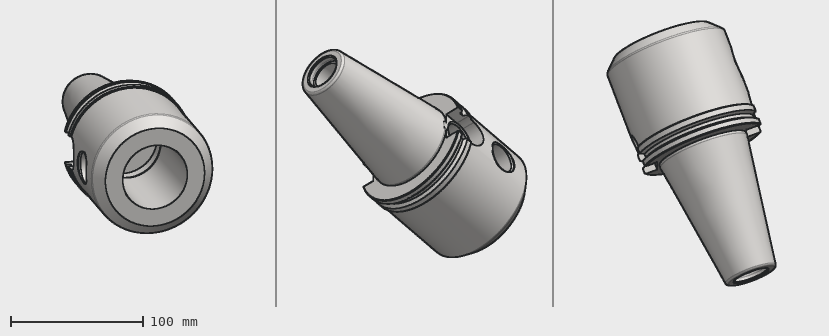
import cadquery as cq

total_length = 193.5
taper_end = 102.8
flange_start = 104.7
flange_end = 121.0
groove_start = 109.4
groove_floor_start = 111.1
groove_floor_end = 114.0
groove_end = 115.8
nose_start = 184.9

taper_slope = 7 / 24 / 2
gauge_radius = 35.2
small_end_radius = gauge_radius - taper_slope * taper_end
flange_radius = 97.2 / 2
groove_radius = 45.5
body_radius = 95.2 / 2
nose_length = total_length - nose_start
nose_radius = body_radius - nose_length
small_end_fillet = 2.0
nose_edge_fillet = 2.0
flange_edge_chamfer = 0.5

through_radius = 22.0 / 2
recess_radius = 26.7 / 2
recess_floor_radius = 26.0 / 2
recess_depth = 5.6
recess_taper_start = 3.9
recess_mouth_chamfer = 1.0
tool_bore_radius = 50.7 / 2
relief_radius = 51.5 / 2
relief_start = 104.5
relief_end = 115.8

slot_width = 25.2
slot_end_centre = 121.2
slot_entry = 77.5
front_slot_floor = 35.0
back_slot_floor = 37.0

screw_stations = (119.8, 157.5)
screw_mouths = (front_slot_floor, 46.7)
screw_radius = 23.5 / 2
screw_mouth_radius = 26.0 / 2
screw_chamfer = screw_mouth_radius - screw_radius


def make_outer_body():
    """Taper, grooved flange and cylindrical body turned about X."""
    profile = [
        (0, 0),
        (0, small_end_radius),
        (taper_end, gauge_radius),
        (flange_start, gauge_radius),
        (flange_start, flange_radius - flange_edge_chamfer),
        (flange_start + flange_edge_chamfer, flange_radius),
        (groove_start, flange_radius),
        (groove_floor_start, groove_radius),
        (groove_floor_end, groove_radius),
        (groove_end, flange_radius),
        (flange_end - flange_edge_chamfer, flange_radius),
        (flange_end, flange_radius - flange_edge_chamfer),
        (flange_end, body_radius),
        (nose_start, body_radius),
        (total_length, nose_radius),
        (total_length, 0),
    ]
    body = cq.Workplane("XY").polyline(profile).close().revolve(360, (0, 0, 0), (1, 0, 0))
    body = body.faces("<X").edges().fillet(small_end_fillet)
    nose_edge = cq.selectors.BoxSelector(
        (nose_start - 0.2, -body_radius, -body_radius),
        (nose_start + 0.2, body_radius, body_radius),
    )
    return body.edges(nose_edge).fillet(nose_edge_fillet)


def make_bore():
    """Stepped bore running the full length."""
    profile = [
        (0, 0),
        (0, recess_radius + recess_mouth_chamfer),
        (recess_mouth_chamfer, recess_radius),
        (recess_taper_start, recess_radius),
        (recess_depth, recess_floor_radius),
        (recess_depth, through_radius),
        (relief_start, through_radius),
        (relief_start, relief_radius),
        (relief_end, relief_radius),
        (relief_end, tool_bore_radius),
        (total_length, tool_bore_radius),
        (total_length, 0),
    ]
    return cq.Workplane("XY").polyline(profile).close().revolve(360, (0, 0, 0), (1, 0, 0))


def make_slot(side, floor):
    """Drive slot cutter on the given Y side (+1 or -1), outward from its floor."""
    half_width = slot_width / 2
    return (
        cq.Workplane("XZ", origin=(0, side * floor, 0))
        .moveTo(slot_entry, -half_width)
        .lineTo(slot_end_centre, -half_width)
        .threePointArc((slot_end_centre + half_width, 0), (slot_end_centre, half_width))
        .lineTo(slot_entry, half_width)
        .close()
        .extrude(-side * flange_radius)
    )


def make_screw_hole(station, mouth):
    """Radial hole into the tool bore, countersunk at Y = -mouth."""
    profile = [
        (0, 0),
        (screw_radius, 0),
        (screw_radius, screw_chamfer - mouth),
        (screw_mouth_radius, -mouth),
        (screw_mouth_radius, -flange_radius),
        (0, -flange_radius),
    ]
    hole = cq.Workplane("XY").polyline(profile).close().revolve(360, (0, 0, 0), (0, 1, 0))
    return hole.translate((station, 0, 0))


result = make_outer_body().cut(make_bore())
result = result.cut(make_slot(-1, front_slot_floor)).cut(make_slot(1, back_slot_floor))
for station, mouth in zip(screw_stations, screw_mouths):
    result = result.cut(make_screw_hole(station, mouth))